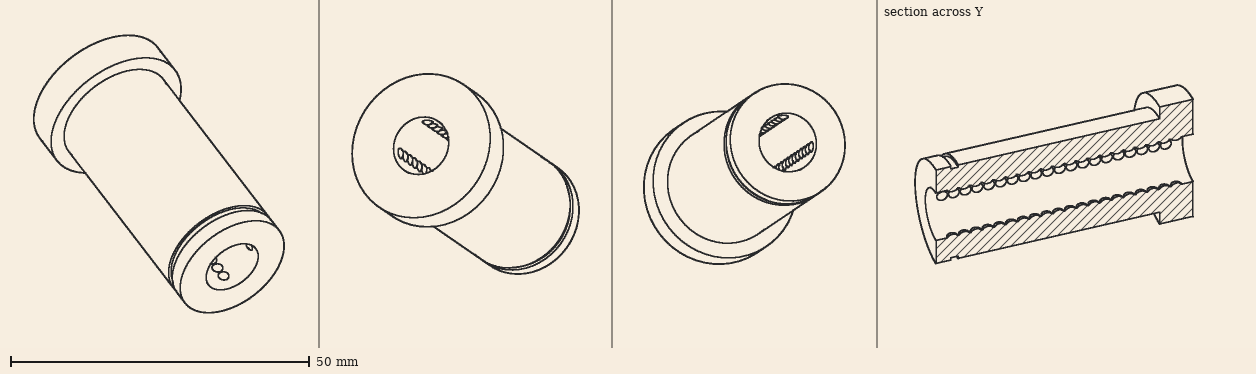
import cadquery as cq

length = 46.0
head_diameter = 25.0
head_length = 6.0
body_diameter = 19.95
bore_diameter = 10.0

groove_diameter = 19.0
groove_width = 1.3
end_land = 2.7

ball_diameter = 2.3
ball_protrusion = 0.5
lines_around = 4
balls_per_line = 20
end_to_ball_center = 3.0
ball_pitch = (length - 2 * end_to_ball_center) / (balls_per_line - 1)
ball_circle_radius = bore_diameter / 2 - ball_protrusion + ball_diameter / 2


def disc(start, thickness, diameter):
    """Solid cylinder on the X axis, from x = start."""
    return cq.Workplane("YZ").workplane(offset=start).circle(diameter / 2).extrude(thickness)


def make_sleeve():
    """Flanged tube with the retaining ring groove."""
    head = disc(0, head_length, head_diameter)
    body = disc(0, length, body_diameter)
    groove_start = length - end_land - groove_width
    groove_ring = disc(groove_start, groove_width, body_diameter).cut(
        disc(groove_start, groove_width, groove_diameter)
    )
    bore = disc(0, length, bore_diameter)
    return head.union(body).cut(groove_ring).cut(bore)


def make_ball(index, angle):
    """One ball, numbered from the head end, turned by angle about the X axis."""
    x = end_to_ball_center + index * ball_pitch
    ball = cq.Workplane("XY").sphere(ball_diameter / 2).translate((x, 0, ball_circle_radius))
    return ball.rotate((0, 0, 0), (1, 0, 0), angle)


balls = [
    make_ball(index, line * 360 / lines_around).val()
    for line in range(lines_around)
    for index in range(balls_per_line)
]
result = cq.Workplane(make_sleeve().val().fuse(*balls)).solids()